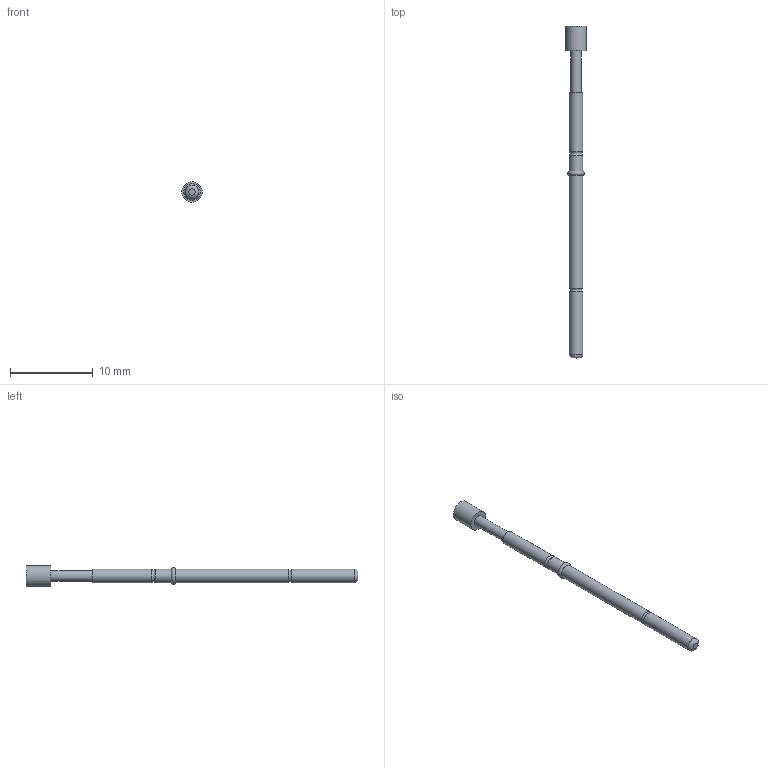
import cadquery as cq


total_length = 40.0
head_diameter = 2.5
plunger_diameter = 1.3
barrel_diameter = 1.65
ring_diameter = 2.0

head_length = 3.0
plunger_length = 5.0
tail_radius = 0.45

ring_position = 22.25
ring_width = 0.5

groove_depth = 0.15
front_groove_position = 24.65
front_groove_width = 0.45
rear_groove_position = 8.2
rear_groove_width = 0.35

head_radius = head_diameter / 2
plunger_radius = plunger_diameter / 2
barrel_radius = barrel_diameter / 2
head_start = total_length - head_length
barrel_end = head_start - plunger_length


def cylinder(radius, start, end):
    """Round bar on the Y axis between two positions."""
    length = end - start
    return cq.Workplane("XZ", origin=(0, start, 0)).circle(radius).extrude(-length)


def barrel():
    """Barrel with a rounded tail edge."""
    return cylinder(barrel_radius, 0, barrel_end).faces("<Y").edges().fillet(tail_radius)


def bead(position, width, crest_radius):
    """Band around the axis whose outer surface is an arc rising from the barrel surface."""
    start = position - width / 2
    end = position + width / 2
    return (
        cq.Workplane("XY")
        .moveTo(0, start)
        .lineTo(barrel_radius, start)
        .threePointArc((crest_radius, position), (barrel_radius, end))
        .lineTo(0, end)
        .close()
        .revolve(360, (0, 0, 0), (0, 1, 0))
    )


def groove(position, width):
    """Ring-shaped cutter with an arc bottom, reaching one groove depth into the barrel."""
    return (
        cq.Workplane("XY")
        .moveTo(barrel_radius, position - width / 2)
        .threePointArc(
            (barrel_radius - groove_depth, position),
            (barrel_radius, position + width / 2),
        )
        .close()
        .revolve(360, (0, 0, 0), (0, 1, 0))
    )


plunger = cylinder(plunger_radius, barrel_end, head_start)
head = cylinder(head_radius, head_start, total_length)
press_ring = bead(ring_position, ring_width, ring_diameter / 2)

result = barrel().union(plunger).union(head).union(press_ring)
result = result.cut(groove(front_groove_position, front_groove_width))
result = result.cut(groove(rear_groove_position, rear_groove_width))